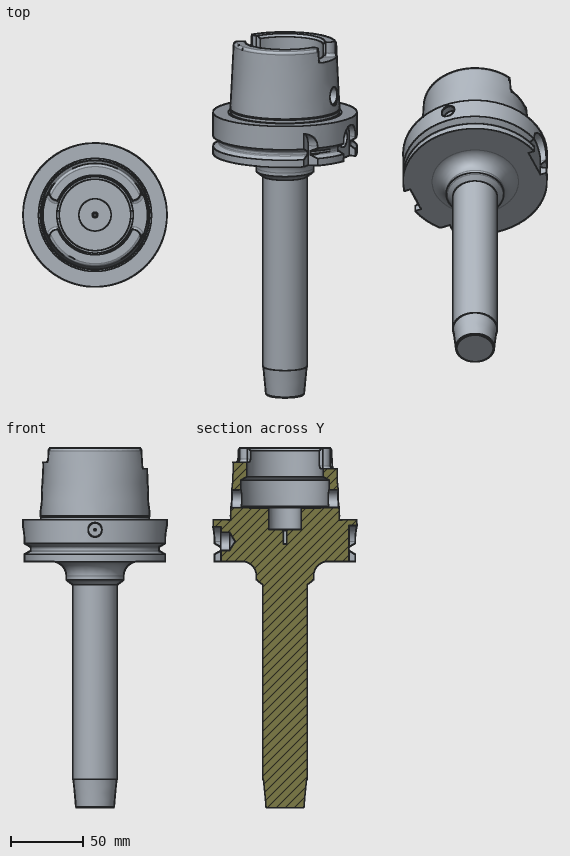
import cadquery as cq
import math

tolerance = 0.001

shank_length = 49.9
shank_top_radius = 35.7
shank_base_radius = 38.0
shank_top_round = 2.0
shank_taper_end = 2.8
relief_top = 1.9
relief_radius = 37.7
relief_outer_radius = 39.3
relief_depth = 0.2

flange_radius = 50.0
flange_height = 29.0
groove_middle_z = -20.2
groove_floor_radius = 45.8
groove_floor_width = 2.6
groove_half_angle = 30.0
groove_floor_fillet = 0.8

total_length = 249.9
neck_radius = 20.0
neck_fillet = 10.0
neck_bottom_z = -42.3
neck_edge_chamfer = 0.7
shaft_radius = 15.5
neck_cone_height = 2.9
nose_length = 20.0
nose_top_radius = 15.2
nose_end_radius = 13.4
nose_chamfer = 0.8

bore_radius = 26.5
bore_rim_radius = 27.7
bore_rim_depth = 2.0
bore_shoulder_z = 29.7
bore_floor_radius = 24.8
bore_floor_z = 8.3
clamp_groove_radius = 30.5
clamp_groove_bottom_z = 9.3
clamp_cone_angle = 60.0
thread_hole_radius = 11.2
thread_hole_depth = 15.0
coolant_mouth_radius = 1.9
coolant_mouth_depth = 0.8
coolant_hole_radius = 1.1
coolant_hole_depth = 10.0

rim_slot_width = 20.4
rim_slot_chamfer = 1.2
rim_slot_flare = 5.0
rim_slot_flare_x = 31.5
rim_slot_depths = {-1: 9.9, 1: 14.5}
rim_slot_fillet = 2.2

clamp_hole_radius = 6.0
clamp_hole_chamfer = 0.6
clamp_hole_z = 14.6
screw_hole_radius = 4.7
screw_hole_z = -7.0
screw_hole_depth = 5.0
screw_hole_chamfer = 0.4
pin_hole_radius = 0.7
pin_hole_depth = 2.0

keyway_centre_z = -15.0
keyway_radius = {-1: 10.0, 1: 11.0}
keyway_floor = 44.5
chip_hole_radius = 6.2
chip_hole_depth = 6.0
drill_point_angle = 118.0
notch_centre_y = 41.5
notch_radius = 10.0
notch_floor = 31.7

neck_join_z = -flange_height
nose_bottom_z = shank_length - total_length


def turned(profile):
    """Revolve an XZ profile about Z with the seam on +Y, clear of the slots and keyways."""
    return profile.revolve(360, (0, 0, 0), (0, 1, 0)).rotate((0, 0, 0), (0, 0, 1), 90)


def is_groove_floor_edge(edge):
    return abs(edge.radius() - groove_floor_radius) < tolerance


def turned_body():
    """Outer profile revolved about Z, with the floor of the gripper groove filleted."""
    half_floor = groove_floor_width / 2
    slope = math.tan(math.radians(groove_half_angle))
    half_mouth = half_floor + (flange_radius - groove_floor_radius) * slope
    round_middle = shank_top_round * (1 - math.sqrt(0.5))
    arc_middle = neck_fillet * (1 - math.sqrt(0.5))
    profile = (
        cq.Workplane("XZ")
        .moveTo(0, shank_length)
        .lineTo(shank_top_radius - shank_top_round, shank_length)
        .threePointArc(
            (shank_top_radius - round_middle, shank_length - round_middle),
            (shank_top_radius, shank_length - shank_top_round),
        )
        .lineTo(shank_base_radius, shank_taper_end)
        .lineTo(relief_radius, relief_top)
        .lineTo(relief_radius, -relief_depth)
        .lineTo(relief_outer_radius, -relief_depth)
        .lineTo(relief_outer_radius, 0)
        .lineTo(flange_radius, 0)
        .lineTo(flange_radius, groove_middle_z + half_mouth)
        .lineTo(groove_floor_radius, groove_middle_z + half_floor)
        .lineTo(groove_floor_radius, groove_middle_z - half_floor)
        .lineTo(flange_radius, groove_middle_z - half_mouth)
        .lineTo(flange_radius, neck_join_z)
        .lineTo(neck_radius + neck_fillet, neck_join_z)
        .threePointArc(
            (neck_radius + arc_middle, neck_join_z - arc_middle),
            (neck_radius, neck_join_z - neck_fillet),
        )
        .lineTo(neck_radius, neck_bottom_z + neck_edge_chamfer)
        .lineTo(neck_radius - neck_edge_chamfer, neck_bottom_z)
        .lineTo(shaft_radius, neck_bottom_z - neck_cone_height)
        .lineTo(shaft_radius, nose_bottom_z + nose_length)
        .lineTo(nose_top_radius, nose_bottom_z + nose_length)
        .lineTo(nose_end_radius, nose_bottom_z + nose_chamfer)
        .lineTo(nose_end_radius - nose_chamfer, nose_bottom_z)
        .lineTo(0, nose_bottom_z)
        .close()
    )
    body = turned(profile)
    floor_edges = [edge for edge in body.edges("%CIRCLE").vals() if is_groove_floor_edge(edge)]
    return body.newObject(floor_edges).fillet(groove_floor_fillet)


def shank_bore():
    """Stepped bore with a clamping groove, a thread hole and a small coolant hole below it."""
    cone_height = (clamp_groove_radius - bore_radius) / math.tan(math.radians(clamp_cone_angle))
    thread_bottom_z = bore_floor_z - thread_hole_depth
    coolant_bottom_z = thread_bottom_z - coolant_hole_depth
    profile = (
        cq.Workplane("XZ")
        .moveTo(0, shank_length)
        .lineTo(bore_rim_radius, shank_length)
        .lineTo(bore_radius, shank_length - bore_rim_depth)
        .lineTo(bore_radius, bore_shoulder_z)
        .lineTo(clamp_groove_radius, bore_shoulder_z - cone_height)
        .lineTo(clamp_groove_radius, clamp_groove_bottom_z)
        .lineTo(bore_floor_radius, clamp_groove_bottom_z)
        .lineTo(bore_floor_radius, bore_floor_z)
        .lineTo(thread_hole_radius, bore_floor_z)
        .lineTo(thread_hole_radius, thread_bottom_z)
        .lineTo(coolant_mouth_radius, thread_bottom_z)
        .lineTo(coolant_hole_radius, thread_bottom_z - coolant_mouth_depth)
        .lineTo(coolant_hole_radius, coolant_bottom_z)
        .lineTo(0, coolant_bottom_z)
        .close()
    )
    return turned(profile)


def rim_slot(side):
    """Slot through the rim wall, its mouth flared by a quarter round on each side and chamfered at the bore."""
    half_width = rim_slot_width / 2
    mouth_half_width = half_width + rim_slot_flare
    inner_half_width = half_width + rim_slot_chamfer
    inner_x = math.sqrt(bore_radius**2 - inner_half_width**2)
    chamfer_end_x = inner_x + 2 * rim_slot_chamfer
    flare_start_x = rim_slot_flare_x - rim_slot_flare
    flare_dx = rim_slot_flare * math.sqrt(0.5)
    flare_dy = rim_slot_flare - flare_dx
    slot = (
        cq.Workplane("XY")
        .moveTo(0, -inner_half_width)
        .lineTo(inner_x, -inner_half_width)
        .lineTo(chamfer_end_x, -half_width)
        .lineTo(flare_start_x, -half_width)
        .threePointArc(
            (flare_start_x + flare_dx, -half_width - flare_dy),
            (rim_slot_flare_x, -mouth_half_width),
        )
        .lineTo(flange_radius, -mouth_half_width)
        .lineTo(flange_radius, mouth_half_width)
        .lineTo(rim_slot_flare_x, mouth_half_width)
        .threePointArc(
            (flare_start_x + flare_dx, half_width + flare_dy),
            (flare_start_x, half_width),
        )
        .lineTo(chamfer_end_x, half_width)
        .lineTo(inner_x, inner_half_width)
        .lineTo(0, inner_half_width)
        .close()
        .extrude(shank_length)
        .faces("<Z")
        .edges()
        .fillet(rim_slot_fillet)
        .translate((0, 0, shank_length - rim_slot_depths[side]))
    )
    return slot if side > 0 else slot.mirror("YZ")


def u_cutter(radius):
    """U shape running along +X, its round end about the local origin and its legs pointing down."""
    return (
        cq.Workplane("YZ")
        .moveTo(-radius, -flange_height)
        .lineTo(-radius, 0)
        .threePointArc((0, radius), (radius, 0))
        .lineTo(radius, -flange_height)
        .close()
        .extrude(flange_radius)
    )


def keyway(side):
    cutter = u_cutter(keyway_radius[side]).translate((keyway_floor, 0, keyway_centre_z))
    return cutter if side > 0 else cutter.mirror("YZ")


def orientation_notch():
    notch = u_cutter(notch_radius).translate((notch_floor, notch_centre_y, keyway_centre_z))
    return notch.mirror("YZ")


def clamp_hole(side):
    """Radial hole through one shank wall, chamfered where it meets the outside."""
    wall_x = shank_top_radius + (shank_base_radius - shank_top_radius) * (
        (shank_length - clamp_hole_z) / (shank_length - shank_taper_end)
    )
    axis = cq.Vector(side, 0, 0)
    inside = cq.Vector(0, 0, clamp_hole_z)
    hole = cq.Solid.makeCylinder(clamp_hole_radius, flange_radius, inside, axis)
    chamfer = cq.Solid.makeCone(
        clamp_hole_radius,
        clamp_hole_radius + 2 * clamp_hole_chamfer,
        2 * clamp_hole_chamfer,
        inside + axis * (wall_x - clamp_hole_chamfer),
        axis,
    )
    return cq.Workplane(hole.fuse(chamfer))


def chip_hole():
    """Blind hole with a conical drill-point bottom in the floor of the -X keyway."""
    tip = chip_hole_radius / math.tan(math.radians(drill_point_angle / 2))
    mouth = cq.Vector(-keyway_floor, 0, keyway_centre_z)
    axis = cq.Vector(1, 0, 0)
    hole = cq.Solid.makeCylinder(chip_hole_radius, chip_hole_depth, mouth, axis)
    point = cq.Solid.makeCone(chip_hole_radius, 0, tip, mouth + axis * chip_hole_depth, axis)
    return cq.Workplane(hole.fuse(point))


def screw_hole():
    """Flat-bottomed hole in the -Y side of the flange, chamfered at the mouth, with a pin hole."""
    floor = screw_hole_depth - flange_radius
    return (
        cq.Workplane("XZ")
        .moveTo(0, -flange_radius)
        .lineTo(screw_hole_radius + screw_hole_chamfer, -flange_radius)
        .lineTo(screw_hole_radius, screw_hole_chamfer - flange_radius)
        .lineTo(screw_hole_radius, floor)
        .lineTo(pin_hole_radius, floor)
        .lineTo(pin_hole_radius, floor + pin_hole_depth)
        .lineTo(0, floor + pin_hole_depth)
        .close()
        .revolve(360, (0, 0, 0), (0, 1, 0))
        .rotate((0, 0, 0), (1, 0, 0), -90)
        .translate((0, 0, screw_hole_z))
    )


keyways = [keyway(side).val() for side in (-1, 1)]
result = cq.Workplane(turned_body().val().cut(*keyways))
result = result.cut(orientation_notch()).cut(chip_hole()).cut(screw_hole()).cut(shank_bore())
for side in (-1, 1):
    result = result.cut(rim_slot(side)).cut(clamp_hole(side))